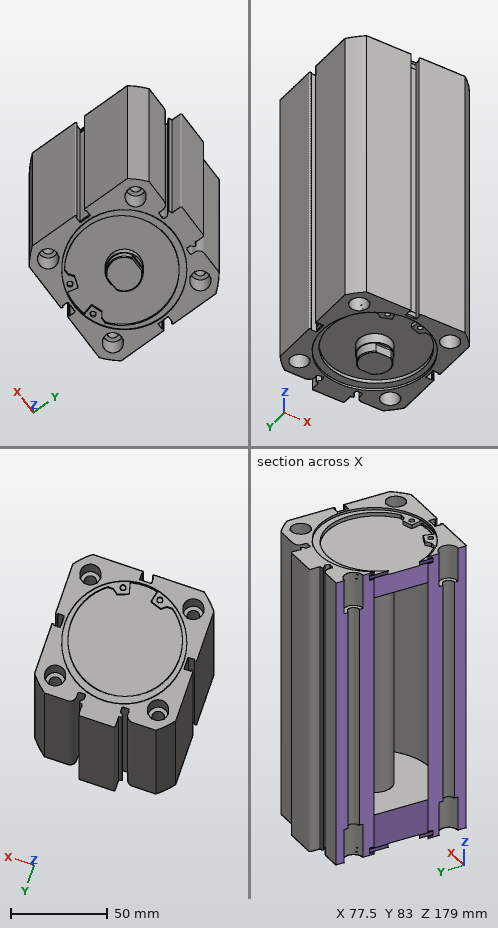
import cadquery as cq
import math

BODY_SIDE = 77.5
BODY_LENGTH = 171.0
HALF_SIDE = BODY_SIDE / 2
CORNER_RADIUS = 49.4
BORE_RADIUS = 32.5
BOLT_PITCH = 56.5
BOLT_HOLE_DIAMETER = 6.6
COUNTERBORE_DIAMETER = 11.0
COUNTERBORE_DEPTH = 20.0

SLOT_DEPTH = 4.7
SLOT_WIDTH = 6.5
SLOT_MOUTH_WIDTH = 5.2
SLOT_LIP = 1.2
SLOT_EDGE_ROUND = 0.6

RAIL_WIDTH = 20.0
RAIL_TOP = 44.25
RAIL_EDGE_ROUND = 0.8
RAIL_FOOT = 32.6
CHANNEL_OUTER = 14.1
CHANNEL_FLOOR_ROUND = 0.8
SHOULDER_RADIUS = 3.6
HOOK_TIP = 11.7
HOOK_TOP = 38.2
HOOK_TIP_TOP = 37.7
HOOK_TIP_BOTTOM = 37.0
HOOK_BOTTOM = 35.2

RING_THICKNESS = 2.2
RING_INSET = 1.7
RING_HEIGHTS = (RING_INSET, BODY_LENGTH - RING_INSET - RING_THICKNESS)
RING_RADIUS = 33.88
GROOVE_WIDTH = 2.9
GROOVE_PLAY = (GROOVE_WIDTH - RING_THICKNESS) / 2
RING_INNER_RADIUS = 29.75
RING_INNER_OFFSET = 1.55
RING_GAP = 16.0
EAR_ROOT_X = 17.5
EAR_SHELF_X = 14.7
EAR_SHELF_Y = -25.4
EAR_TIP_X = 12.0
EAR_TIP_Y = -23.3
EAR_NOSE_X = 6.0
EAR_HOLE_DIAMETER = 3.0
EAR_HOLE_X = 10.1
EAR_HOLE_Y = -27.6

REAR_CAP_LENGTH = 12.0
FRONT_CAP_LENGTH = 20.0
CAP_INSET = RING_INSET + RING_THICKNESS
REAR_CAP_BOTTOM = BODY_LENGTH - CAP_INSET - REAR_CAP_LENGTH

ROD_DIAMETER = 20.0
ROD_END_DIAMETER = 19.2
ROD_PROJECTION = 8.0
ROD_COLLAR = 2.0
ROD_CHAMFER = 0.5
FLATS_WIDTH = 16.7
FLATS_LENGTH = 5.1
FLATS_RUNOUT_WIDTH = 17.4

ARC_MID = 1 - math.sqrt(0.5)


def rounded_square():
    square = cq.Workplane("XY").rect(BODY_SIDE, BODY_SIDE).extrude(BODY_LENGTH)
    return square.intersect(cq.Workplane("XY").circle(CORNER_RADIUS).extrude(BODY_LENGTH))


def channel(side):
    """Undercut channel beside the rail, on the +X (1) or -X (-1) side."""
    rail = RAIL_WIDTH / 2
    floor_round = CHANNEL_FLOOR_ROUND
    floor_mid = ARC_MID * floor_round
    shoulder_mid = ARC_MID * SHOULDER_RADIUS
    shoulder_end = CHANNEL_OUTER + SHOULDER_RADIUS
    cutter = (
        cq.Workplane("XY")
        .moveTo(rail, RAIL_TOP)
        .lineTo(rail, HOOK_TOP)
        .lineTo(HOOK_TIP, HOOK_TIP_TOP)
        .lineTo(HOOK_TIP, HOOK_TIP_BOTTOM)
        .lineTo(rail, HOOK_BOTTOM)
        .lineTo(rail, RAIL_FOOT + floor_round)
        .threePointArc((rail + floor_mid, RAIL_FOOT + floor_mid), (rail + floor_round, RAIL_FOOT))
        .lineTo(CHANNEL_OUTER - floor_round, RAIL_FOOT)
        .threePointArc(
            (CHANNEL_OUTER - floor_mid, RAIL_FOOT + floor_mid),
            (CHANNEL_OUTER, RAIL_FOOT + floor_round),
        )
        .lineTo(CHANNEL_OUTER, HALF_SIDE - SHOULDER_RADIUS)
        .threePointArc(
            (CHANNEL_OUTER + shoulder_mid, HALF_SIDE - shoulder_mid),
            (shoulder_end, HALF_SIDE),
        )
        .lineTo(shoulder_end, RAIL_TOP)
        .close()
        .extrude(BODY_LENGTH)
    )
    return cutter if side > 0 else cutter.mirror("YZ")


def side_slot(angle):
    """T-slot on the -Y side, turned about the axis by the given angle."""
    mouth = SLOT_MOUTH_WIDTH / 2
    wall = SLOT_WIDTH / 2
    face = -HALF_SIDE
    lip = face + SLOT_LIP
    floor = face + SLOT_DEPTH
    edge_mid = ARC_MID * SLOT_EDGE_ROUND
    outline = (
        cq.Workplane("XY")
        .moveTo(-mouth - SLOT_EDGE_ROUND, face)
        .threePointArc((-mouth - edge_mid, face + edge_mid), (-mouth, face + SLOT_EDGE_ROUND))
        .lineTo(-mouth, lip)
        .lineTo(-wall, lip)
        .lineTo(-wall, floor)
        .lineTo(wall, floor)
        .lineTo(wall, lip)
        .lineTo(mouth, lip)
        .lineTo(mouth, face + SLOT_EDGE_ROUND)
        .threePointArc((mouth + edge_mid, face + edge_mid), (mouth + SLOT_EDGE_ROUND, face))
        .close()
    )
    return outline.extrude(BODY_LENGTH).rotate((0, 0, 0), (0, 0, 1), angle)


def make_rail():
    """Port rail, still as wide as its hooks; the channels cut it to shape."""
    return (
        cq.Workplane("XY")
        .center(0, (RAIL_TOP + RAIL_FOOT) / 2)
        .rect(2 * HOOK_TIP, RAIL_TOP - RAIL_FOOT)
        .extrude(BODY_LENGTH)
    )


def bolt_holes(diameter, bottom, depth):
    """Cutters for one stage of the four corner bolt holes."""
    return (
        cq.Workplane("XY", origin=(0, 0, bottom))
        .rect(BOLT_PITCH, BOLT_PITCH, forConstruction=True)
        .vertices()
        .circle(diameter / 2)
        .extrude(depth)
    )


def make_housing():
    body = rounded_square().union(make_rail())
    for side in (-1, 1):
        body = body.cut(channel(side))
    body = body.faces(">Y").edges("|Z").fillet(RAIL_EDGE_ROUND)
    for angle in (-90, 0, 90):
        body = body.cut(side_slot(angle))
    body = body.cut(bolt_holes(BOLT_HOLE_DIAMETER, 0, BODY_LENGTH))
    for z in (0, BODY_LENGTH - COUNTERBORE_DEPTH):
        body = body.cut(bolt_holes(COUNTERBORE_DIAMETER, z, COUNTERBORE_DEPTH))
    body = body.cut(cq.Workplane("XY").circle(BORE_RADIUS).extrude(BODY_LENGTH))
    for z in RING_HEIGHTS:
        groove = cq.Workplane("XY", origin=(0, 0, z - GROOVE_PLAY)).circle(RING_RADIUS)
        body = body.cut(groove.extrude(GROOVE_WIDTH))
    return body


def make_ear(side):
    """Ear at the +X (1) or -X (-1) end of a ring, trimmed to the ring's outer circle."""
    outline = (
        cq.Workplane("XY")
        .moveTo(side * EAR_ROOT_X, EAR_SHELF_Y)
        .lineTo(side * EAR_SHELF_X, EAR_SHELF_Y)
        .lineTo(side * EAR_TIP_X, EAR_TIP_Y)
        .lineTo(side * EAR_NOSE_X, EAR_SHELF_Y)
        .lineTo(side * RING_GAP / 2, -RING_RADIUS)
        .lineTo(side * EAR_ROOT_X, -RING_RADIUS)
        .close()
    )
    disc = cq.Workplane("XY").circle(RING_RADIUS).extrude(RING_THICKNESS)
    return outline.extrude(RING_THICKNESS).intersect(disc)


def make_ring(z):
    """Eccentric open ring with its two ears, its lower face at height z."""
    bore = cq.Workplane("XY").center(0, -RING_INNER_OFFSET).circle(RING_INNER_RADIUS)
    gap = cq.Workplane("XY").center(0, -RING_RADIUS).rect(RING_GAP, RING_GAP)
    ring = (
        cq.Workplane("XY")
        .circle(RING_RADIUS)
        .extrude(RING_THICKNESS)
        .cut(bore.extrude(RING_THICKNESS))
        .cut(gap.extrude(RING_THICKNESS))
    )
    for side in (-1, 1):
        ring = ring.union(make_ear(side))
    holes = (
        cq.Workplane("XY")
        .pushPoints([(-EAR_HOLE_X, EAR_HOLE_Y), (EAR_HOLE_X, EAR_HOLE_Y)])
        .circle(EAR_HOLE_DIAMETER / 2)
        .extrude(RING_THICKNESS)
    )
    return ring.cut(holes).translate((0, 0, z))


def make_rear_cap():
    return (
        cq.Workplane("XY", origin=(0, 0, REAR_CAP_BOTTOM))
        .circle(BORE_RADIUS)
        .extrude(REAR_CAP_LENGTH)
    )


def make_front_cap():
    return (
        cq.Workplane("XY", origin=(0, 0, CAP_INSET))
        .circle(BORE_RADIUS)
        .circle(ROD_DIAMETER / 2)
        .extrude(FRONT_CAP_LENGTH)
    )


def make_rod():
    """Rod from the rear cap out through the front cap, with two wrench flats on its end."""
    tip = (
        cq.Workplane("XY", origin=(0, 0, -ROD_PROJECTION))
        .circle(ROD_END_DIAMETER / 2)
        .extrude(ROD_PROJECTION)
        .faces("<Z")
        .chamfer(ROD_CHAMFER)
    )
    rod = (
        cq.Workplane("XY", origin=(0, 0, -ROD_COLLAR))
        .circle(ROD_DIAMETER / 2)
        .extrude(ROD_COLLAR + REAR_CAP_BOTTOM)
    )
    rod = rod.union(tip)
    flat = FLATS_WIDTH / 2
    flats_top = FLATS_LENGTH - ROD_PROJECTION
    flat_cut = (
        cq.Workplane("YZ")
        .moveTo(flat, -ROD_PROJECTION)
        .lineTo(flat, flats_top)
        .lineTo(FLATS_RUNOUT_WIDTH / 2, -ROD_COLLAR)
        .lineTo(ROD_DIAMETER / 2, -ROD_COLLAR)
        .lineTo(ROD_DIAMETER / 2, -ROD_PROJECTION)
        .close()
        .extrude(ROD_DIAMETER / 2, both=True)
    )
    return rod.cut(flat_cut).cut(flat_cut.mirror("XZ"))


housing = make_housing()
rings = [make_ring(z) for z in RING_HEIGHTS]
rear_cap = make_rear_cap()
front_cap = make_front_cap()
rod = make_rod()
result = cq.Compound.makeCompound(
    [housing.val(), *[ring.val() for ring in rings], rear_cap.val(), front_cap.val(), rod.val()]
)